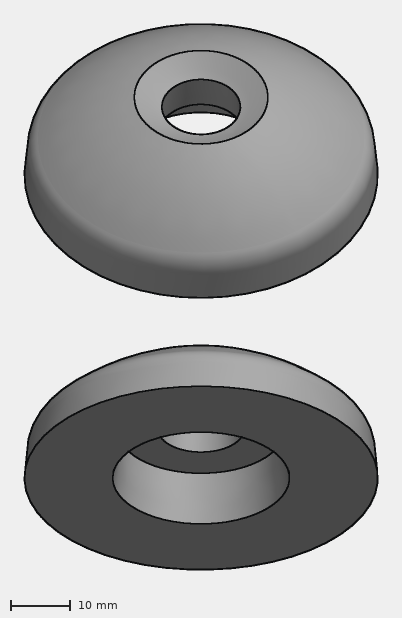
import cadquery as cq
import math

base_radius = 29.5
height = 18.0

draft_angle = 5.0
draft_slope = math.tan(math.radians(draft_angle))

rim_height = 4.95
rim_top_radius = base_radius - rim_height * draft_slope
shoulder_radius = 27.25
shoulder_height = 8.4
shoulder_bulge = 0.5

dome_radius = 48.95

hole_radius = 6.55
seat_radius = 11.15
seat_depth = 2.25
seat_bulge = 0.2

recess_radius = 14.75
recess_depth = 9.4
recess_top_radius = recess_radius - recess_depth * draft_slope
hole_bottom_radius = hole_radius + (height - seat_depth - recess_depth) * draft_slope


def bulged_midpoint(start, end, bulge):
    """Middle point of an arc that stands off its chord by bulge, to the right of start to end."""
    run = end[0] - start[0]
    rise = end[1] - start[1]
    chord = math.hypot(run, rise)
    middle_radius = (start[0] + end[0]) / 2 + bulge * rise / chord
    middle_height = (start[1] + end[1]) / 2 - bulge * run / chord
    return (middle_radius, middle_height)


def make_body():
    """Solid of revolution with its hole and recess included in the profile."""
    rim_top = (rim_top_radius, rim_height)
    shoulder_top = (shoulder_radius, shoulder_height)
    dome_top = (seat_radius, height)
    seat_bottom = (hole_radius, height - seat_depth)
    half_chord = math.dist(shoulder_top, dome_top) / 2
    dome_bulge = dome_radius - math.sqrt(dome_radius**2 - half_chord**2)
    profile = (
        cq.Workplane("XZ")
        .moveTo(recess_radius, 0)
        .lineTo(base_radius, 0)
        .lineTo(*rim_top)
        .threePointArc(bulged_midpoint(rim_top, shoulder_top, shoulder_bulge), shoulder_top)
        .threePointArc(bulged_midpoint(shoulder_top, dome_top, dome_bulge), dome_top)
        .threePointArc(bulged_midpoint(seat_bottom, dome_top, seat_bulge), seat_bottom)
        .lineTo(hole_bottom_radius, recess_depth)
        .lineTo(recess_top_radius, recess_depth)
        .close()
    )
    return profile.revolve(360, (0, 0, 0), (0, 1, 0))


result = make_body()